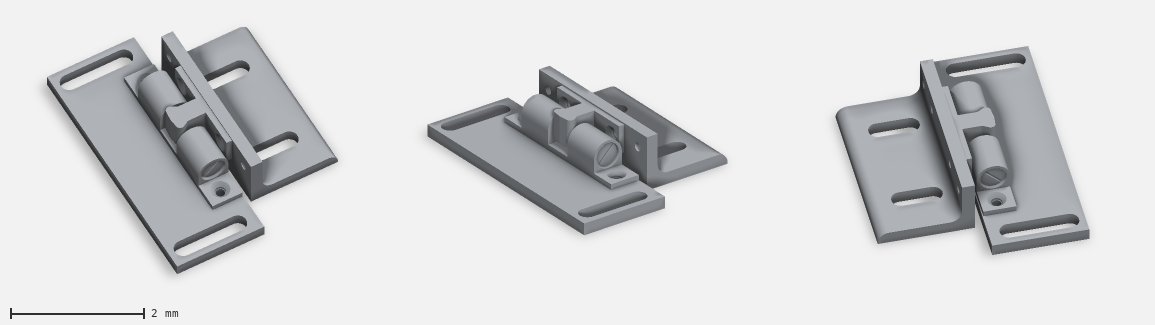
import cadquery as cq
import math


plate_thickness = 0.2
leaf_depth = 1.5
slot_width = 0.285
screw_hole_diameter = 0.14
clearance_diameter = 0.17
countersink_diameter = 0.3
countersink_angle = 90
outer_screw_x = 1.14

base_length = 4.0
base_slot_spacing = 3.5
base_slot_length = 1.225
base_slot_y = -0.787

bracket_length = 2.755
bracket_height = 0.9
bracket_face_y = 0.12
bracket_radius = 0.18
bracket_slot_spacing = 1.5
bracket_slot_middle_x = 0.03
bracket_slot_length = 0.79
bracket_slot_y = 0.86
bracket_back_y = bracket_face_y + leaf_depth

catch_middle_x = -0.005
catch_length = 2.715
catch_width = 0.515
catch_rear_y = -0.013
foot_thickness = 0.095
barrels_length = 1.85
barrel_gap = 0.5
barrel_axis_z = 0.5225
screw_recess_radius = 0.2
screw_recess_depth = 0.05
screw_recess_chamfer = 0.01
driver_slot_width = 0.04
driver_slot_depth = 0.03
driver_slot_tilt = 45
catch_y = catch_rear_y - catch_width / 2
foot_top_z = plate_thickness + foot_thickness
barrel_radius = catch_width / 2

strike_middle_x = 0.006
strike_length = 1.58
strike_height = 0.47
strike_thickness = 0.095
strike_screw_x = 0.59
screw_z = 0.64
neck_half_width = 0.152
neck_end = 0.384
flare_start = 0.425
flare_end = 0.495
head_corner_end = 0.605
head_tip = 0.622
flare_start_half_width = 0.164
flare_end_half_width = 0.206
head_corner_half_width = 0.165


def slot_row(y, length, spacing, middle_x, height):
    """Cutter for two slots, long along Y, rising from Z = 0."""
    return (
        cq.Workplane("XY")
        .pushPoints([(middle_x + side * spacing / 2, y) for side in (-1, 1)])
        .slot2D(length, slot_width, 90)
        .extrude(height)
    )


def make_base_plate():
    plate = (
        cq.Workplane("XY")
        .rect(base_length, leaf_depth)
        .extrude(plate_thickness)
        .translate((0, -leaf_depth / 2, 0))
    )
    screw_holes = (
        cq.Workplane("XY")
        .pushPoints([(catch_middle_x + side * outer_screw_x, catch_y) for side in (-1, 1)])
        .circle(screw_hole_diameter / 2)
        .extrude(plate_thickness)
    )
    slots = slot_row(base_slot_y, base_slot_length, base_slot_spacing, 0, plate_thickness)
    return plate.cut(slots).cut(screw_holes)


def make_bracket():
    wall_back_y = bracket_face_y + plate_thickness
    diagonal = bracket_radius * math.sqrt(0.5)
    inner_centre = (wall_back_y + bracket_radius, plate_thickness + bracket_radius)
    nose_centre = (bracket_back_y - bracket_radius, plate_thickness - bracket_radius)
    section = (
        cq.Workplane("YZ", origin=(-bracket_length / 2, 0, 0))
        .moveTo(bracket_face_y, 0)
        .lineTo(bracket_face_y, bracket_height)
        .lineTo(wall_back_y, bracket_height)
        .lineTo(wall_back_y, inner_centre[1])
        .threePointArc(
            (inner_centre[0] - diagonal, inner_centre[1] - diagonal),
            (inner_centre[0], plate_thickness),
        )
        .lineTo(nose_centre[0], plate_thickness)
        .threePointArc(
            (nose_centre[0] + diagonal, nose_centre[1] + diagonal),
            (bracket_back_y, nose_centre[1]),
        )
        .lineTo(bracket_back_y, 0)
        .close()
    )
    screw_places = [side * outer_screw_x for side in (-1, 1)]
    screw_places += [strike_middle_x + side * strike_screw_x for side in (-1, 1)]
    screw_holes = (
        cq.Workplane("XZ", origin=(0, bracket_face_y, 0))
        .pushPoints([(x, screw_z) for x in screw_places])
        .circle(screw_hole_diameter / 2)
        .extrude(-plate_thickness)
    )
    slots = slot_row(
        bracket_slot_y,
        bracket_slot_length,
        bracket_slot_spacing,
        bracket_slot_middle_x,
        bracket_height,
    )
    return section.extrude(bracket_length).cut(slots).cut(screw_holes)


def slotted_recess():
    """Cutter for a round recess with a driver slot in its floor, sunk along +X from X = 0."""
    mouth_radius = screw_recess_radius + screw_recess_chamfer
    recess = cq.Workplane("YZ").circle(screw_recess_radius).extrude(screw_recess_depth)
    mouth = (
        cq.Workplane("YZ")
        .circle(mouth_radius)
        .workplane(offset=screw_recess_chamfer)
        .circle(screw_recess_radius)
        .loft()
    )
    slot_bottom = screw_recess_depth + driver_slot_depth
    driver_slot = (
        cq.Workplane("YZ")
        .rect(2 * screw_recess_radius, driver_slot_width)
        .extrude(slot_bottom)
        .rotate((0, 0, 0), (1, 0, 0), driver_slot_tilt)
        .intersect(cq.Workplane("YZ").circle(screw_recess_radius).extrude(slot_bottom))
    )
    return recess.union(mouth).union(driver_slot)


def make_catch():
    catch = (
        cq.Workplane("XY", origin=(0, 0, plate_thickness))
        .rect(catch_length, catch_width)
        .extrude(foot_thickness)
        .faces(">Z")
        .workplane()
        .pushPoints([(side * outer_screw_x, 0) for side in (-1, 1)])
        .cskHole(clearance_diameter, countersink_diameter, countersink_angle)
    )
    barrel_length = (barrels_length - barrel_gap) / 2
    for start_x in (-barrels_length / 2, barrel_gap / 2):
        barrel = (
            cq.Workplane("YZ", origin=(start_x, 0, 0))
            .moveTo(-barrel_radius, foot_top_z)
            .lineTo(-barrel_radius, barrel_axis_z)
            .threePointArc((0, barrel_axis_z + barrel_radius), (barrel_radius, barrel_axis_z))
            .lineTo(barrel_radius, foot_top_z)
            .close()
            .extrude(barrel_length)
        )
        catch = catch.union(barrel)
    recess = slotted_recess().translate((-barrels_length / 2, 0, barrel_axis_z))
    catch = catch.cut(recess).cut(recess.mirror("YZ"))
    return catch.translate((catch_middle_x, catch_y, 0))


def make_strike():
    strike_plate = (
        cq.Workplane("XZ")
        .rect(strike_length, strike_height)
        .extrude(strike_thickness)
        .faces("<Y")
        .workplane()
        .pushPoints([(side * strike_screw_x, 0) for side in (-1, 1)])
        .cskHole(clearance_diameter, countersink_diameter, countersink_angle)
    )
    half_tongue = (
        cq.Workplane("XY", origin=(0, 0, -strike_height / 2))
        .lineTo(neck_half_width, 0)
        .lineTo(neck_half_width, -neck_end)
        .tangentArcPoint((flare_start_half_width, -flare_start), relative=False)
        .lineTo(flare_end_half_width, -flare_end)
        .tangentArcPoint((head_corner_half_width, -head_corner_end), relative=False)
        .lineTo(0, -head_tip)
        .close()
        .extrude(strike_height)
    )
    tongue = half_tongue.union(half_tongue.mirror("YZ"))
    return strike_plate.union(tongue).translate((strike_middle_x, bracket_face_y, screw_z))


base_plate = make_base_plate()
bracket = make_bracket()
catch = make_catch()
strike = make_strike()

result = cq.Compound.makeCompound([base_plate.val(), bracket.val(), catch.val(), strike.val()])